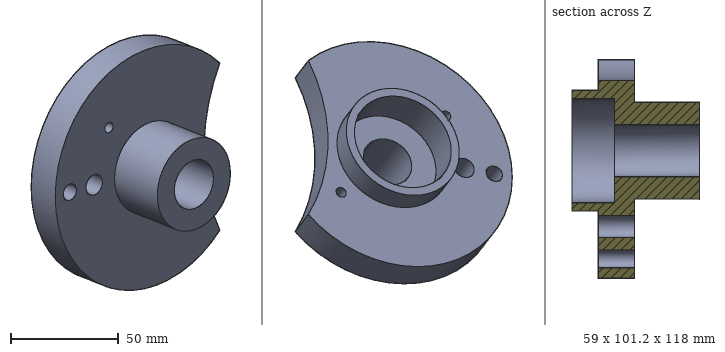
import cadquery as cq

total_length = 59.0
collar_length = 12.0
disc_thickness = 17.0
hub_length = total_length - collar_length - disc_thickness

disc_diameter = 118.0
collar_diameter = 56.0
recess_diameter = 48.0
hub_diameter = 45.0
bore_diameter = 24.0
recess_depth = 19.6

relief_radius = 92.0
relief_nearest_y = 32.5

large_hole_diameter = 10.0
large_hole_y = -35.0
outer_hole_diameter = 8.0
outer_hole_y = -50.0
small_hole_diameter = 5.0
small_hole_offset = 26.0

disc_start = collar_length
disc_end = disc_start + disc_thickness


def cylinder(diameter, start_x, length, y=0, z=0):
    """Cylinder parallel to X, starting at start_x."""
    plane = cq.Workplane("YZ", origin=(start_x, y, z))
    return plane.circle(diameter / 2).extrude(length)


def disc_cut(diameter, y, z=0):
    """Cylinder that removes material through the disc thickness."""
    return cylinder(diameter, disc_start, disc_thickness, y, z)


disc = cylinder(disc_diameter, disc_start, disc_thickness)
disc = disc.cut(disc_cut(2 * relief_radius, relief_nearest_y + relief_radius))

holes = [
    (large_hole_diameter, large_hole_y, 0),
    (outer_hole_diameter, outer_hole_y, 0),
    (small_hole_diameter, -small_hole_offset, small_hole_offset),
    (small_hole_diameter, small_hole_offset, -small_hole_offset),
]
for diameter, y, z in holes:
    disc = disc.cut(disc_cut(diameter, y, z))

collar = cylinder(collar_diameter, 0, collar_length)
hub = cylinder(hub_diameter, disc_end, hub_length)
body = disc.union(collar).union(hub)

recess = cylinder(recess_diameter, 0, recess_depth)
bore = cylinder(bore_diameter, 0, total_length)
result = body.cut(recess).cut(bore)